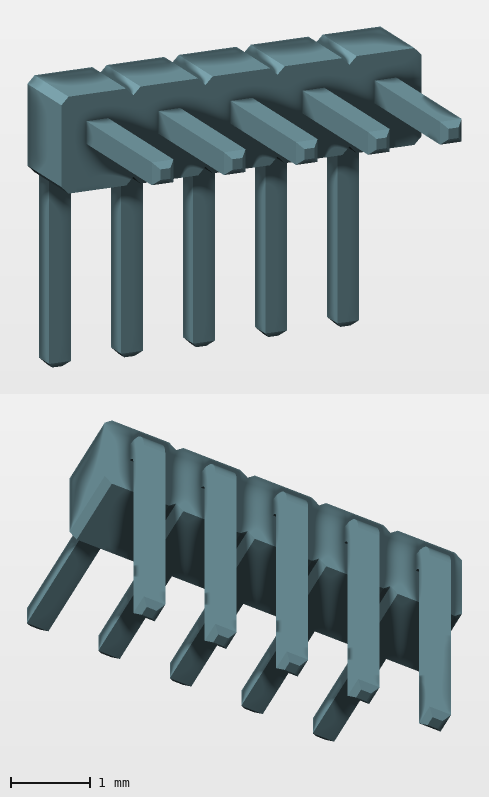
import cadquery as cq


pin_count = 5
pitch = 1.0
strip_depth = 1.0
strip_height = 1.275
strip_chamfer = 0.1

pin_width = 0.3
pin_axis_drop = 0.505
bend_inner_radius = 0.15
tip_chamfer = 0.08
leg_protrusion = 0.4
overall_depth = 3.4
overall_height = 3.94

bend_axis_radius = bend_inner_radius + pin_width / 2


def strip_segment(y_centre):
    """One block of the strip, chamfered along its four X edges."""
    return (
        cq.Workplane("XY")
        .box(strip_depth, pitch, strip_height)
        .edges("|X")
        .chamfer(strip_chamfer)
        .translate((leg_protrusion + strip_depth / 2, y_centre, -strip_height / 2))
    )


def bent_pin(y_centre):
    """A square pin swept around its bend, with both ends chamfered."""
    leg_axis_x = pin_width / 2
    bend_centre_x = bend_inner_radius + pin_width
    bend_centre_z = -pin_axis_drop - bend_axis_radius
    path = (
        cq.Workplane("XZ")
        .moveTo(leg_axis_x, -overall_height)
        .lineTo(leg_axis_x, bend_centre_z)
        .radiusArc((bend_centre_x, -pin_axis_drop), bend_axis_radius)
        .lineTo(overall_depth, -pin_axis_drop)
    )
    return (
        cq.Workplane("XY", origin=(leg_axis_x, 0, -overall_height))
        .rect(pin_width, pin_width)
        .sweep(path)
        .faces("<Z or >X")
        .chamfer(tip_chamfer)
        .translate((0, y_centre, 0))
    )


pin_positions = [(i - (pin_count - 1) / 2) * pitch for i in range(pin_count)]

result = cq.Workplane("XY")
for y in pin_positions:
    result = result.union(strip_segment(y))
for y in pin_positions:
    result = result.union(bent_pin(y))